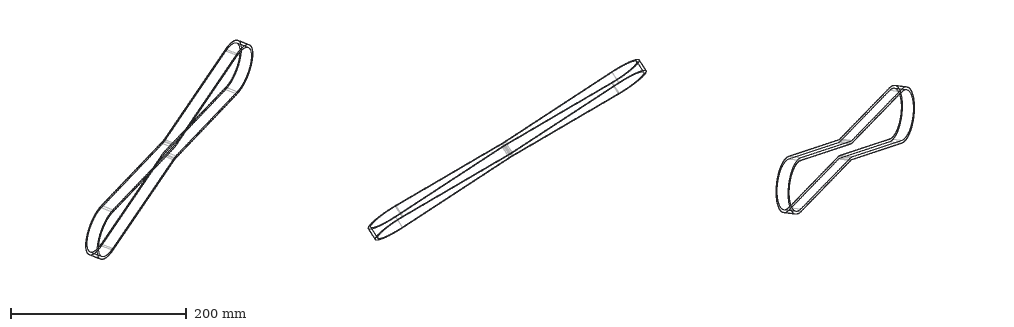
import cadquery as cq
import math

length = 365.0
band_width = 15.0
wall = 3.3
end_radius = 32.5
waist_half_gap = 11.3
bend_radius = 11.5

end_center = length / 2 - end_radius
bend_center = waist_half_gap + bend_radius

center_distance = math.hypot(end_center, bend_center)
slope = math.atan2(end_center, bend_center) - math.acos((end_radius + bend_radius) / center_distance)


def waisted_loop(inset):
    """Solid bounded by the band's outer outline moved inward by inset."""
    end_r = end_radius - inset
    bend_r = bend_radius + inset
    end_y = end_center + end_r * -math.sin(slope)
    end_z = end_r * math.cos(slope)
    bend_y = bend_r * math.sin(slope)
    bend_z = bend_center - bend_r * math.cos(slope)
    tip_y = end_center + end_r
    waist_z = bend_center - bend_r
    return (
        cq.Workplane("YZ")
        .moveTo(bend_y, bend_z)
        .lineTo(end_y, end_z)
        .threePointArc((tip_y, 0), (end_y, -end_z))
        .lineTo(bend_y, -bend_z)
        .threePointArc((0, -waist_z), (-bend_y, -bend_z))
        .lineTo(-end_y, -end_z)
        .threePointArc((-tip_y, 0), (-end_y, end_z))
        .lineTo(-bend_y, bend_z)
        .threePointArc((0, waist_z), (bend_y, bend_z))
        .close()
        .extrude(band_width / 2, both=True)
    )


result = waisted_loop(0).cut(waisted_loop(wall))